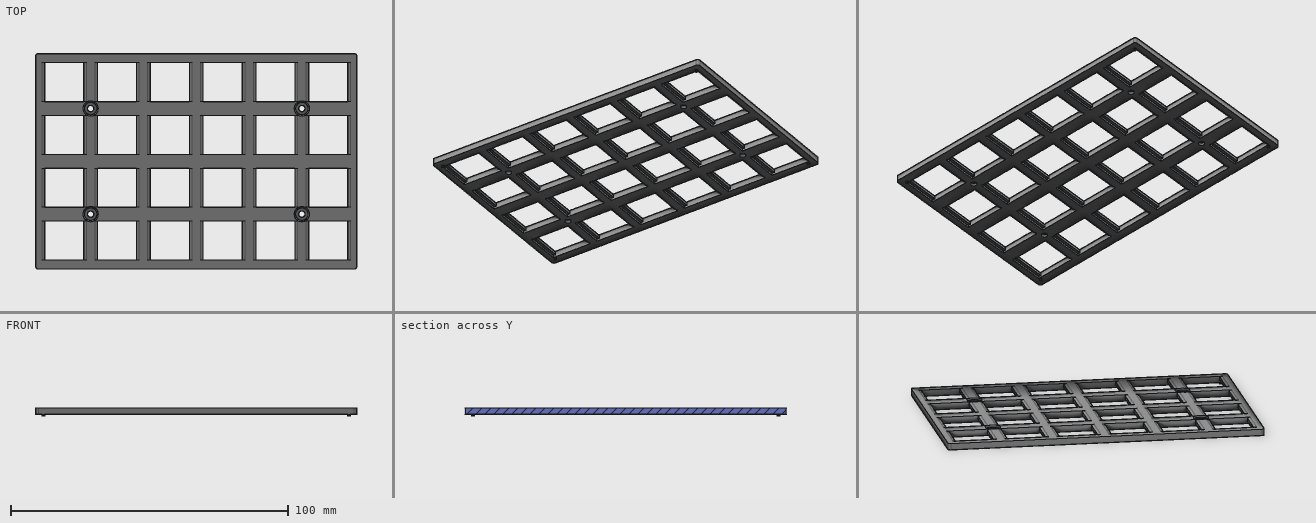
import cadquery as cq
import math

columns = 6
rows = 4
key_pitch = 19.05
key_opening = 14.0
border = 3.325

plate_thickness = 2.4
corner_radius = 1.0
plate_length = (columns - 1) * key_pitch + key_opening + 2 * border
plate_width = (rows - 1) * key_pitch + key_opening + 2 * border

lip_length = 1.0
lip_ramp_angle = 15.0
lip_ramp_drop = lip_length * math.tan(math.radians(lip_ramp_angle))
lip_height = 1.5
lip_bottom = plate_thickness - lip_height

screw_diameter = 2.2
head_diameter = 4.5
head_depth = 1.0
head_chamfer = 0.5
screw_spacing_x = (columns - 2) * key_pitch
screw_spacing_y = (rows - 2) * key_pitch

foot_diameter = 1.0
foot_height = 0.5
foot_inset = 2.8


def plate_blank():
    """Rectangular plate with rounded vertical corners, bottom face at Z = 0."""
    blank = cq.Workplane("XY").box(plate_length, plate_width, plate_thickness, centered=(True, True, False))
    return blank.edges("|Z").fillet(corner_radius)


def key_cutter():
    """One square opening, ramped wider along X at the top and undercut below its lips."""
    half_opening = key_opening / 2
    half_recess = half_opening + lip_length
    right_side = [
        (half_recess, 0),
        (half_recess, lip_bottom),
        (half_opening, lip_bottom),
        (half_opening, plate_thickness - lip_ramp_drop),
        (half_recess, plate_thickness),
    ]
    left_side = [(-x, z) for x, z in reversed(right_side)]
    profile = cq.Workplane("XZ").polyline(right_side + left_side).close()
    return profile.extrude(key_opening / 2, both=True).val()


def screw_cutter():
    """One screw hole with its head recess and the chamfer around the recess."""
    screw_radius = screw_diameter / 2
    head_radius = head_diameter / 2
    head_floor = plate_thickness - head_depth
    profile = [
        (0, 0),
        (screw_radius, 0),
        (screw_radius, head_floor),
        (head_radius, head_floor),
        (head_radius, plate_thickness - head_chamfer),
        (head_radius + head_chamfer, plate_thickness),
        (0, plate_thickness),
    ]
    return cq.Workplane("XZ").polyline(profile).close().revolve(360, (0, 0, 0), (0, 1, 0)).val()


def feet():
    """Small round feet under the four plate corners."""
    return (
        cq.Workplane("XY")
        .rarray(plate_length - 2 * foot_inset, plate_width - 2 * foot_inset, 2, 2)
        .circle(foot_diameter / 2)
        .extrude(-foot_height)
    )


key_places = cq.Workplane("XY").rarray(key_pitch, key_pitch, columns, rows)
screw_places = cq.Workplane("XY").rarray(screw_spacing_x, screw_spacing_y, 2, 2)

result = plate_blank()
result = result.cut(key_places.eachpoint(key_cutter(), combine=False))
result = result.cut(screw_places.eachpoint(screw_cutter(), combine=False))
result = result.union(feet())